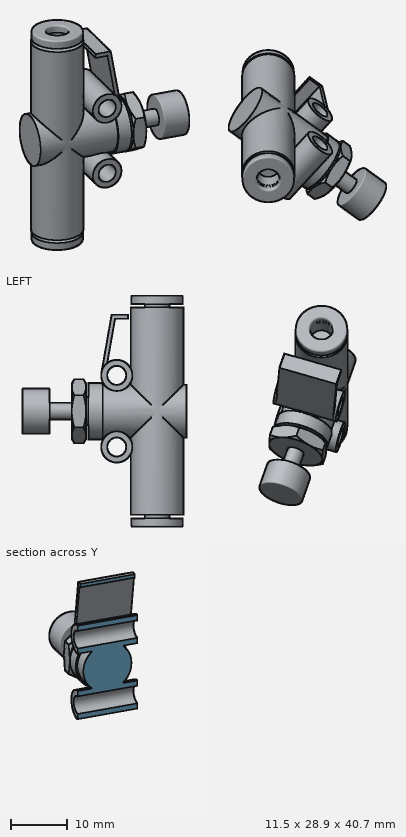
import cadquery as cq
import math

TUBE_DIA = 9.3
TUBE_LENGTH = 36.5

OVERALL_HEIGHT = 40.7
CAP_DIA = 9.1
CAP_THICKNESS = 1.5
CAP_FILLET = 0.3
CAP_NECK_DIA = 4.39
BORE_DIA = 4.0
BORE_DEPTH = 5.0
BORE_MOUTH_FILLET = 0.35

OVERALL_DEPTH = 28.9
CROSS_DIA = 9.35
CROSS_FRONT_Y = -5.2
COLLAR_DIA = 10.0
COLLAR_START_Y = 9.6
COLLAR_END_Y = 12.1
NECK_DIA = 5.0
NUT_START_Y = 12.5
NUT_THICKNESS = 2.5
NUT_ACROSS_FLATS = 9.8
NUT_SIDES = 6
NUT_CHAMFER_ANGLE = 30.0
STEM_DIA = 3.0
KNOB_DIA = 8.0
KNOB_LENGTH = 4.8
KNOB_END_Y = CROSS_FRONT_Y + OVERALL_DEPTH
KNOB_FILLET = 0.2

LUG_DIA = 5.5
LUG_HOLE_DIA = 3.3
LUG_LENGTH = 11.5
LUG_Y = 7.1
LUG_Z = 6.3

CLIP_WIDTH = 10.5
CLIP_THICKNESS = 0.75
CLIP_LEAN_ANGLE = 10.0
CLIP_TOP_Z = 17.0
CLIP_TIP_Y = 5.1


def y_cylinder(diameter, start_y, end_y):
    """Cylinder on the Y axis between two Y positions."""
    return (
        cq.Workplane("XZ", origin=(0, start_y, 0))
        .circle(diameter / 2)
        .extrude(start_y - end_y)
    )


def x_cylinder(diameter, center_z):
    """Cylinder along X, centred on a lug axis."""
    return (
        cq.Workplane("YZ", origin=(0, LUG_Y, center_z))
        .circle(diameter / 2)
        .extrude(LUG_LENGTH / 2, both=True)
    )


def make_end_cap():
    """Upper release cap with the neck that joins it to the tube."""
    cap_bottom = OVERALL_HEIGHT / 2 - CAP_THICKNESS
    cap = (
        cq.Workplane("XY", origin=(0, 0, cap_bottom))
        .circle(CAP_DIA / 2)
        .extrude(CAP_THICKNESS)
        .faces(">Z")
        .fillet(CAP_FILLET)
    )
    neck = (
        cq.Workplane("XY", origin=(0, 0, TUBE_LENGTH / 2))
        .circle(CAP_NECK_DIA / 2)
        .extrude(cap_bottom - TUBE_LENGTH / 2)
    )
    return cap.union(neck)


def make_bore():
    """Blind bore in the upper end with a rounded mouth."""
    top = OVERALL_HEIGHT / 2
    radius = BORE_DIA / 2
    return (
        cq.Workplane("XZ")
        .moveTo(0, top)
        .lineTo(radius + BORE_MOUTH_FILLET, top)
        .radiusArc((radius, top - BORE_MOUTH_FILLET), -BORE_MOUTH_FILLET)
        .lineTo(radius, top - BORE_DEPTH)
        .lineTo(0, top - BORE_DEPTH)
        .close()
        .revolve(360, (0, 0, 0), (0, 1, 0))
    )


def make_nut():
    """Hexagon nut with corners toward +Z and -Z, chamfered on both faces."""
    flat_radius = NUT_ACROSS_FLATS / 2
    corner_radius = flat_radius / math.cos(math.pi / NUT_SIDES)
    chamfer_height = (corner_radius - flat_radius) * math.tan(math.radians(NUT_CHAMFER_ANGLE))
    end_y = NUT_START_Y + NUT_THICKNESS
    hexagon = (
        cq.Workplane("XZ", origin=(0, NUT_START_Y, 0))
        .transformed(rotate=(0, 0, 90))
        .polygon(NUT_SIDES, 2 * corner_radius)
        .extrude(-NUT_THICKNESS)
    )
    chamfer_envelope = (
        cq.Workplane("XY")
        .moveTo(0, NUT_START_Y)
        .lineTo(flat_radius, NUT_START_Y)
        .lineTo(corner_radius, NUT_START_Y + chamfer_height)
        .lineTo(corner_radius, end_y - chamfer_height)
        .lineTo(flat_radius, end_y)
        .lineTo(0, end_y)
        .close()
        .revolve(360, (0, 0, 0), (0, 1, 0))
    )
    return hexagon.intersect(chamfer_envelope)


def make_adjusting_screw():
    """Collar, neck, nut, stem and knob along the +Y axis."""
    knob_start_y = KNOB_END_Y - KNOB_LENGTH
    knob = y_cylinder(KNOB_DIA, knob_start_y, KNOB_END_Y)
    knob = knob.faces("<Y or >Y").edges().fillet(KNOB_FILLET)
    return (
        y_cylinder(COLLAR_DIA, COLLAR_START_Y, COLLAR_END_Y)
        .union(y_cylinder(NECK_DIA, COLLAR_END_Y, NUT_START_Y))
        .union(make_nut())
        .union(y_cylinder(STEM_DIA, NUT_START_Y + NUT_THICKNESS, knob_start_y))
        .union(knob)
    )


def make_clip():
    """Leaning plate tangent to the back of the upper lug, bent toward the tube at the top."""
    lean = math.radians(CLIP_LEAN_ANGLE)
    lug_radius = LUG_DIA / 2
    foot_y = LUG_Y + lug_radius * math.cos(lean)
    foot_z = LUG_Z + lug_radius * math.sin(lean)
    inner_foot_y = foot_y - CLIP_THICKNESS * math.cos(lean)
    inner_foot_z = foot_z - CLIP_THICKNESS * math.sin(lean)
    bend_z = CLIP_TOP_Z - CLIP_THICKNESS
    outer_top_y = foot_y - (CLIP_TOP_Z - foot_z) * math.tan(lean)
    inner_bend_y = inner_foot_y - (bend_z - inner_foot_z) * math.tan(lean)
    return (
        cq.Workplane("YZ")
        .moveTo(foot_y, foot_z)
        .lineTo(outer_top_y, CLIP_TOP_Z)
        .lineTo(CLIP_TIP_Y, CLIP_TOP_Z)
        .lineTo(CLIP_TIP_Y, bend_z)
        .lineTo(inner_bend_y, bend_z)
        .lineTo(inner_foot_y, inner_foot_z)
        .close()
        .extrude(CLIP_WIDTH / 2, both=True)
    )


tube = cq.Workplane("XY").circle(TUBE_DIA / 2).extrude(TUBE_LENGTH / 2, both=True)
body = tube.union(y_cylinder(CROSS_DIA, CROSS_FRONT_Y, COLLAR_START_Y))
body = body.union(make_adjusting_screw())

end_cap = make_end_cap()
body = body.union(end_cap).union(end_cap.mirror("XY"))

for lug_z in (LUG_Z, -LUG_Z):
    body = body.union(x_cylinder(LUG_DIA, lug_z))
body = body.union(make_clip())
for lug_z in (LUG_Z, -LUG_Z):
    body = body.cut(x_cylinder(LUG_HOLE_DIA, lug_z))

bore = make_bore()
result = body.cut(bore).cut(bore.mirror("XY"))